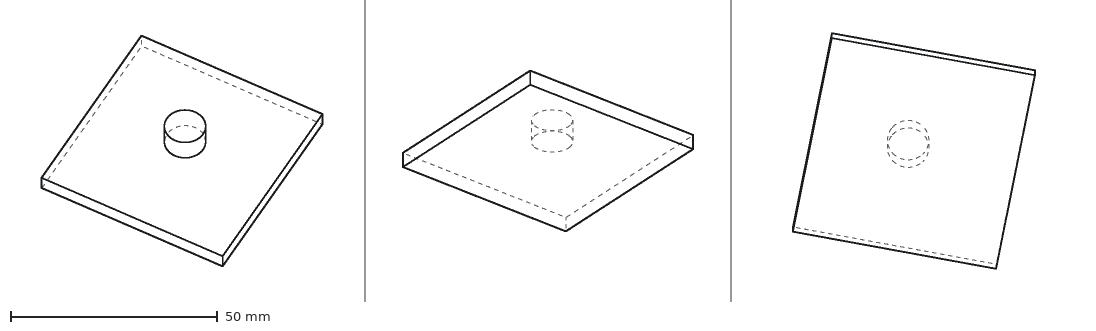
import cadquery as cq

plate_side = 50.0
plate_thickness = 4.0

total_height = 10.0
pin_diameter = 10.0
pin_offset_y = 1.5
pin_height = total_height - plate_thickness

plate = cq.Workplane("XY").box(
    plate_side, plate_side, plate_thickness, centered=(True, True, False)
)

pin = (
    cq.Workplane("XY", origin=(0, pin_offset_y, plate_thickness))
    .circle(pin_diameter / 2)
    .extrude(pin_height)
)

result = plate.union(pin)